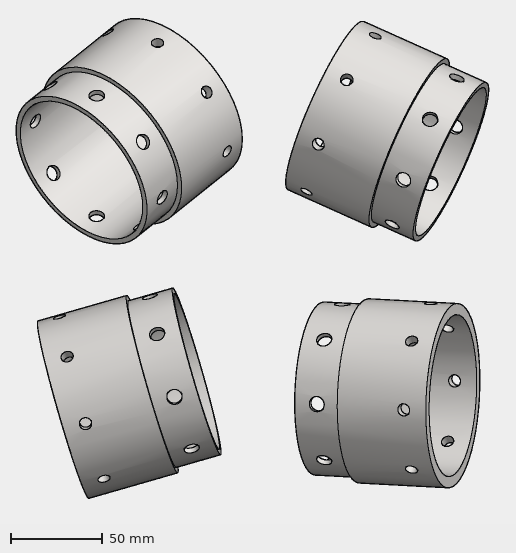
import cadquery as cq

body_diameter = 101.35
spigot_diameter = 95.25
bore_diameter = 88.9
body_length = 50.8
spigot_length = 25.4

hole_count = 8
hole_end_distance = 12.7
body_hole_diameter = 6.75
spigot_hole_diameter = 8.43

total_length = spigot_length + body_length


def cylinder_along_y(diameter, length):
    """Cylinder from the Y = 0 plane toward +Y."""
    return cq.Workplane("XZ").circle(diameter / 2).extrude(-length)


def radial_hole_ring(hole_diameter, y_position):
    """Cutters for evenly spaced radial holes; each one cuts two opposite holes."""
    cutters = cq.Workplane("XY")
    for index in range(hole_count // 2):
        cutter = (
            cq.Workplane("XY")
            .center(0, y_position)
            .circle(hole_diameter / 2)
            .extrude(body_diameter, both=True)
            .rotate((0, 0, 0), (0, 1, 0), index * 360 / hole_count)
        )
        cutters = cutters.add(cutter)
    return cutters.combine()


def stepped_sleeve():
    spigot = cylinder_along_y(spigot_diameter, total_length)
    body = cylinder_along_y(body_diameter, body_length).translate((0, spigot_length, 0))
    bore = cylinder_along_y(bore_diameter, total_length)
    return spigot.union(body).cut(bore)


result = (
    stepped_sleeve()
    .cut(radial_hole_ring(spigot_hole_diameter, hole_end_distance))
    .cut(radial_hole_ring(body_hole_diameter, total_length - hole_end_distance))
)